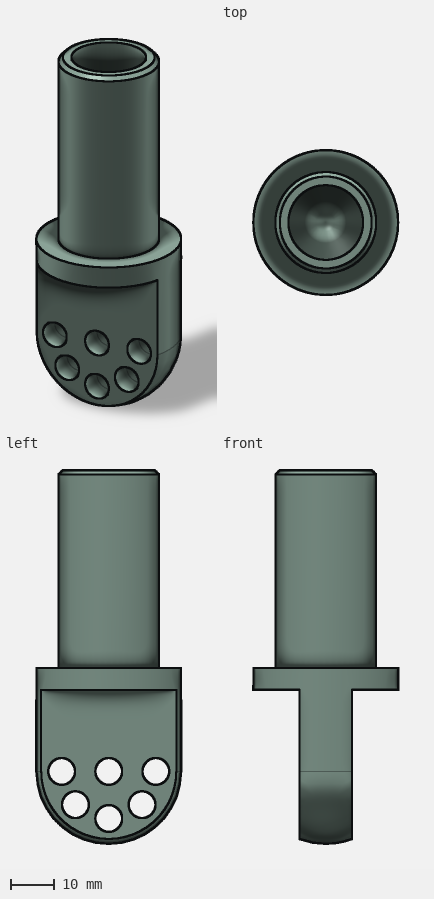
import cadquery as cq
import math

total_height = 85.0
flange_diameter = 33.0
flange_thickness = 5.0
tube_diameter = 22.95
tube_length = 45.0
tube_chamfer = 1.0
bore_diameter = 17.0
drill_tip_angle = 118.0
tongue_thickness = 12.0
hole_diameter = 6.0
hole_circle_radius = 10.7
hole_spacing_angle = 45
hole_arc_count = 5

flange_radius = flange_diameter / 2
bore_radius = bore_diameter / 2
flange_top = total_height - tube_length
flange_bottom = flange_top - flange_thickness
dome_center_z = flange_radius
drill_tip_depth = bore_radius / math.tan(math.radians(drill_tip_angle / 2))


def make_tube():
    """Round tube blank with a chamfered top rim."""
    tube = cq.Workplane("XY").workplane(offset=flange_top).circle(tube_diameter / 2).extrude(tube_length)
    return tube.faces(">Z").edges().chamfer(tube_chamfer)


def make_flange():
    """Flat round collar between tube and tongue."""
    return cq.Workplane("XY").workplane(offset=flange_bottom).circle(flange_radius).extrude(flange_thickness)


def make_tongue():
    """Middle slice of a round bar that ends in a hemisphere."""
    bar_length = flange_bottom - dome_center_z
    bar = cq.Workplane("XY").workplane(offset=dome_center_z).circle(flange_radius).extrude(bar_length)
    arc_offset = flange_radius * math.sqrt(0.5)
    dome = (
        cq.Workplane("XZ")
        .moveTo(0, dome_center_z)
        .lineTo(flange_radius, dome_center_z)
        .threePointArc((arc_offset, dome_center_z - arc_offset), (0, 0))
        .close()
        .revolve(360, (0, 0, 0), (0, 1, 0))
    )
    slab = cq.Workplane("XY").box(
        tongue_thickness, flange_diameter, flange_bottom, centered=(True, True, False)
    )
    return bar.union(dome).intersect(slab)


def make_bore():
    """Blind bore as deep as the tube, with a conical drill tip below it."""
    return (
        cq.Workplane("XZ")
        .moveTo(0, total_height)
        .lineTo(bore_radius, total_height)
        .lineTo(bore_radius, flange_top)
        .lineTo(0, flange_top - drill_tip_depth)
        .close()
        .revolve(360, (0, 0, 0), (0, 1, 0))
    )


def make_tongue_holes():
    """One hole at the dome center and an arc of holes around its lower half."""
    centers = [(0, dome_center_z)]
    for index in range(hole_arc_count):
        angle = math.radians(180 + index * hole_spacing_angle)
        y = hole_circle_radius * math.cos(angle)
        z = dome_center_z + hole_circle_radius * math.sin(angle)
        centers.append((y, z))
    return (
        cq.Workplane("YZ")
        .pushPoints(centers)
        .circle(hole_diameter / 2)
        .extrude(tongue_thickness, both=True)
    )


body = make_flange().union(make_tube()).union(make_tongue())
result = body.cut(make_bore()).cut(make_tongue_holes())